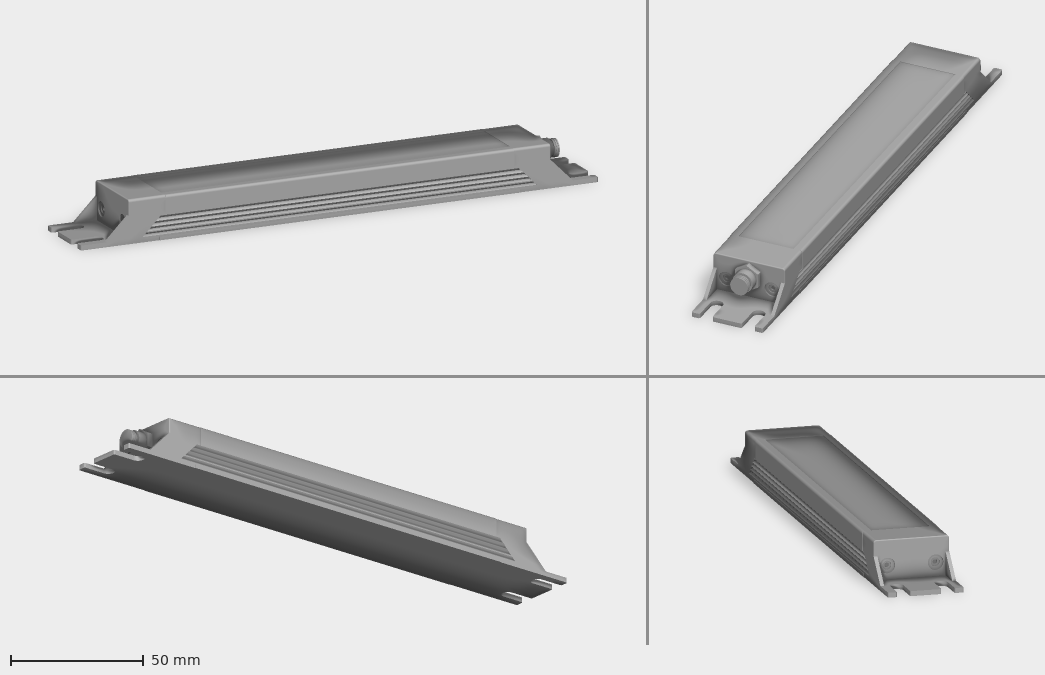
import cadquery as cq

length = 215.0
width = 30.0
height = 17.5

profile_half_length = 72.5
edge_radius = 1.0
window_half_width = 11.5
window_depth = 0.2
groove_pitch = 2.0
groove_count = 4
groove_top = 9.7

setback = 0.2
setback_top = 5.0
rail_height = 1.5
rail_half_length = 74.8

ledge_height = 9.7
ledge_length = 2.0
slope_foot_height = 0.9

cap_half_width = 14.8
cap_end = 87.7
end_radius = 0.5
foot_thickness = 2.0
tip_radius = 0.6
gusset_height = 11.2
gusset_thickness = 1.5

slot_spacing = 17.5
slot_width = 5.2
slot_bottom = 95.5

screw_spacing = 19.0
screw_height = 7.3
screw_head_radius = 3.0
screw_head_depth = 0.6
socket_radius = 1.7
socket_depth = 1.0
socket_core_radius = 0.9
socket_core_depth = 1.7

connector_height = 11.0
hex_corner_radius = 5.5
hex_length = 2.4
collar_radius = 4.0
collar_length = 3.5
neck_radius = 3.2
neck_length = 1.0
plug_radius = 3.7
plug_groove_radius = 3.5
plug_ring_length = 0.5
plug_groove_count = 2

half_length = length / 2
half_width = width / 2
groove_depth = groove_pitch / 2
ledge_end = profile_half_length + ledge_length
slope_foot_end = ledge_end + ledge_height - slope_foot_height


def side_prism(points, wide):
    """Prism across X from an outline of (y, z) points, centred on X = 0."""
    return cq.Workplane("YZ").polyline(points).close().extrude(wide / 2, both=True)


def rectangle(start, end, top):
    """Rectangle of (y, z) points standing on Z = 0."""
    return [(start, 0), (end, 0), (end, top), (start, top)]


def box_on_base(size_x, size_y, size_z, x, z):
    """Box centred on Y = 0 that stands on height z."""
    return cq.Workplane("XY", origin=(x, 0, z)).box(size_x, size_y, size_z, centered=(True, True, False))


def end_cylinder(x, z, radius, start, depth):
    """Cylinder along +Y that begins at Y = start."""
    return cq.Workplane("XZ", origin=(x, start, z)).circle(radius).extrude(-depth)


def profile_envelope():
    """Full-width block of the profile, without grooves, with sloping lower ends."""
    half = [
        (slope_foot_end, 0),
        (slope_foot_end, slope_foot_height),
        (ledge_end, ledge_height),
        (profile_half_length, ledge_height),
        (profile_half_length, height),
    ]
    mirrored = [(-y, z) for y, z in reversed(half)]
    return side_prism(half + mirrored, width)


def side_groove(side, top):
    """V-shaped groove along Y in the +X or -X flank."""
    outer = side * half_width
    points = [
        (outer, top),
        (outer - side * groove_depth, top - groove_depth),
        (outer, top - 2 * groove_depth),
    ]
    return cq.Workplane("XZ").polyline(points).close().extrude(half_length, both=True)


def flank_setback(side):
    """Thin slab off one flank: above the rail, and beyond the rail's two ends."""
    slab = box_on_base(2 * setback, length, setback_top, side * half_width, 0)
    rail = box_on_base(2 * setback, 2 * rail_half_length, rail_height, side * half_width, 0)
    return slab.cut(rail)


def make_profile():
    """Profile with its shallow top window and grooved flanks."""
    body = profile_envelope().edges("|Y and >Z").fillet(edge_radius)
    body = body.cut(box_on_base(2 * window_half_width, length, height, 0, height - window_depth))
    for side in (-1, 1):
        body = body.cut(flank_setback(side))
        for index in range(groove_count):
            body = body.cut(side_groove(side, groove_top - index * groove_pitch))
    return body


def cap_block():
    """Solid block of the cap with rounded top edges."""
    block = side_prism(rectangle(profile_half_length, cap_end, height), 2 * cap_half_width)
    block = block.edges("|Y and >Z").fillet(edge_radius)
    return block.faces(">Y").edges(">Z").fillet(end_radius)


def gusset_walls():
    """Two sloping side walls that brace the block against the foot."""
    start = cap_end - end_radius
    outline = [
        (start, 0),
        (cap_end + gusset_height, 0),
        (cap_end, gusset_height),
        (start, gusset_height),
    ]
    walls = side_prism(outline, 2 * cap_half_width)
    gap_width = 2 * (cap_half_width - gusset_thickness)
    gap = box_on_base(gap_width, length, height, 0, 0).translate((0, cap_end + half_length, 0))
    return walls.cut(gap)


def foot_plate():
    """Foot with two open slots."""
    foot = side_prism(rectangle(profile_half_length, half_length, foot_thickness), 2 * cap_half_width)
    slot_centre = slot_bottom + slot_width / 2
    for side in (-1, 1):
        slot_x = side * slot_spacing / 2
        round_end = cq.Workplane("XY").center(slot_x, slot_centre).circle(slot_width / 2).extrude(height)
        mouth = box_on_base(slot_width, length, height, slot_x, 0)
        mouth = mouth.translate((0, slot_centre + half_length, 0))
        foot = foot.cut(round_end).cut(mouth)
    return foot.edges("|Z and >Y").fillet(tip_radius)


def screw_recess(x):
    """Stepped round hole of one screw, narrower with depth below the end face."""
    recess = end_cylinder(x, screw_height, screw_head_radius, cap_end - screw_head_depth, screw_head_depth)
    for radius, depth in [(socket_radius, socket_depth), (socket_core_radius, socket_core_depth)]:
        recess = recess.union(end_cylinder(x, screw_height, radius, cap_end - depth, depth))
    return recess


def make_cap():
    """Cap at the +Y end: block, foot plate and two gusset walls around the profile end."""
    cap = cap_block().union(foot_plate()).union(gusset_walls()).cut(profile_envelope())
    for side in (-1, 1):
        cap = cap.cut(screw_recess(side * screw_spacing / 2))
    return cap


def make_connector():
    """Hexagonal base, round collar, narrow neck and ringed plug, stacked along +Y."""
    connector = (
        cq.Workplane("XZ", origin=(0, cap_end, connector_height))
        .transformed(rotate=(0, 0, 90))
        .polygon(6, 2 * hex_corner_radius)
        .extrude(-hex_length)
    )
    ring = (plug_radius, plug_ring_length)
    groove = (plug_groove_radius, plug_ring_length)
    sections = [(collar_radius, collar_length), (neck_radius, neck_length)]
    sections += plug_groove_count * [ring, groove] + [ring]
    start = cap_end + hex_length
    for radius, section_length in sections:
        connector = connector.union(end_cylinder(0, connector_height, radius, start, section_length))
        start += section_length
    return connector


profile = make_profile()
rear_cap = make_cap()
front_cap = rear_cap.mirror("XZ")
connector = make_connector()

result = cq.Compound.makeCompound(
    [profile.val(), rear_cap.val(), front_cap.val(), connector.val()]
)